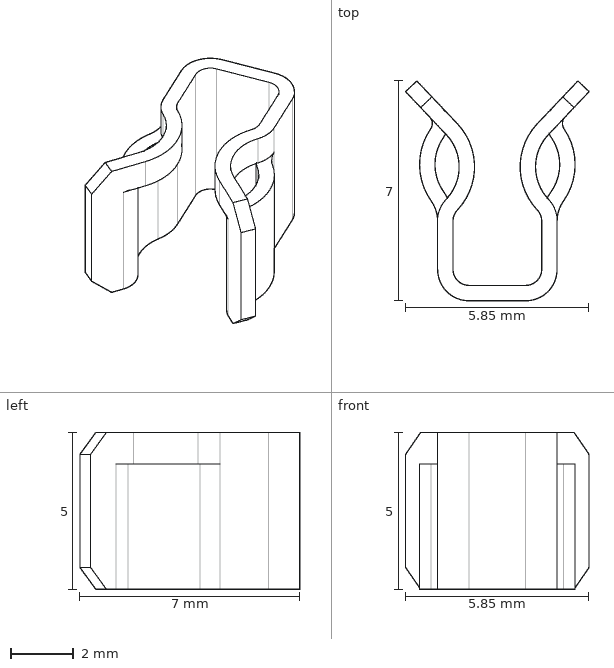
import cadquery as cq
import math


length = 7.0
height = 5.0
split_height = 4.0
sheet = 0.5
base_width = 3.81
base_radius = 1.0
arm_start = 2.54
lip_angle = 46.5
lip_chamfer = 0.7

waist_gap = 1.44
upper_neck_radius = 1.01
upper_bow_radius = 1.5

bulge_width = 4.955
lower_neck_radius = 1.1
lower_bow_radius = 2.0
lip_bend_radius = 0.3

half_width = base_width / 2
lip_normal = 90 + lip_angle


def polar(center, radius, angle):
    a = math.radians(angle)
    return center[0] + radius * math.cos(a), center[1] + radius * math.sin(a)


def along(vector, angle):
    """Component of a vector in the given direction."""
    a = math.radians(angle)
    return vector[0] * math.cos(a) + vector[1] * math.sin(a)


def bend_arc(bend, inner):
    """Start, middle and end points of a bend on its outer or inner face."""
    center, outer_radius, inner_radius, start, end = bend
    radius = inner_radius if inner else outer_radius
    return [polar(center, radius, a) for a in (start, (start + end) / 2, end)]


def arm_strip(bends, lip_end, bottom, top):
    """Right-hand strip: base wall, tangent bends, then the straight lip."""
    wall_end = (half_width, base_radius)
    outline = cq.Workplane("XY").workplane(offset=bottom).moveTo(*wall_end)
    outline = outline.lineTo(half_width, arm_start)
    for bend in bends[:-1]:
        _, middle, end = bend_arc(bend, inner=False)
        outline = outline.threePointArc(middle, end)
    _, middle, end = bend_arc(bends[-1], inner=False)
    outline = outline.threePointArc(middle, end).lineTo(*lip_end)
    outline = outline.lineTo(*polar(lip_end, sheet, lip_normal))
    outline = outline.lineTo(*bend_arc(bends[-1], inner=True)[2])
    for bend in reversed(bends):
        start, middle, _ = bend_arc(bend, inner=True)
        outline = outline.threePointArc(middle, start)
    outline = outline.lineTo(half_width - sheet, base_radius)
    return outline.close().extrude(top - bottom)



neck_center = (half_width - upper_neck_radius, arm_start)
bow_x = waist_gap / 2 + sheet + upper_bow_radius
span = upper_neck_radius + upper_bow_radius
turn = math.degrees(math.acos((bow_x - neck_center[0]) / span))
bow_center = polar(neck_center, span, turn)
upper_bends = [
    (neck_center, upper_neck_radius, upper_neck_radius - sheet, 0, turn),
    (bow_center, upper_bow_radius, upper_bow_radius + sheet, 180 + turn, lip_normal),
]
lip_start = polar(bow_center, upper_bow_radius, lip_normal)
lip_rise = length - sheet * math.sin(math.radians(lip_normal)) - lip_start[1]
lip_end = polar(lip_start, lip_rise / math.sin(math.radians(lip_angle)), lip_angle)

neck_center = (half_width + lower_neck_radius, arm_start)
bow_x = bulge_width / 2 - lower_bow_radius
span = lower_neck_radius + lower_bow_radius
turn = math.degrees(math.acos((neck_center[0] - bow_x) / span))
bow_center = polar(neck_center, span, 180 - turn)
span = lower_bow_radius + lip_bend_radius
to_lip = (lip_start[0] - bow_center[0], lip_start[1] - bow_center[1])
offset_ratio = (along(to_lip, lip_normal) - lip_bend_radius) / span
bow_end = lip_normal - math.degrees(math.acos(offset_ratio))
lip_bend_center = polar(bow_center, span, bow_end)
lower_bends = [
    (neck_center, lower_neck_radius, lower_neck_radius + sheet, 180, 180 - turn),
    (bow_center, lower_bow_radius, lower_bow_radius - sheet, -turn, bow_end),
    (lip_bend_center, lip_bend_radius, lip_bend_radius + sheet, 180 + bow_end, lip_normal),
]

arm = arm_strip(upper_bends, lip_end, split_height, height)
arm = arm.union(arm_strip(lower_bends, lip_end, 0, split_height))


def lip_corner(edge_z, drop):
    """Triangular prism through the sheet at one corner of the lip tip."""
    lip_plane = cq.Plane(
        origin=(*lip_end, edge_z),
        xDir=(*polar((0, 0), 1, lip_angle), 0),
        normal=(*polar((0, 0), 1, lip_normal), 0),
    )
    corner = [(0, 0), (-lip_chamfer, 0), (0, drop)]
    return cq.Workplane(lip_plane).polyline(corner).close().extrude(sheet)


arm = arm.cut(lip_corner(height, lip_chamfer)).cut(lip_corner(0, -lip_chamfer))


def rounded_block(width, y_start, corner_radius):
    """Full-height block up to the arm start, with its two -Y corners rounded."""
    depth = arm_start - y_start
    block = cq.Workplane("XY").center(0, y_start + depth / 2).rect(width, depth).extrude(height)
    return block.edges("|Z and <Y").fillet(corner_radius)


cavity = rounded_block(base_width - 2 * sheet, sheet, base_radius - sheet)
base = rounded_block(base_width, 0, base_radius).cut(cavity)

result = base.union(arm).union(arm.mirror("YZ")).clean()